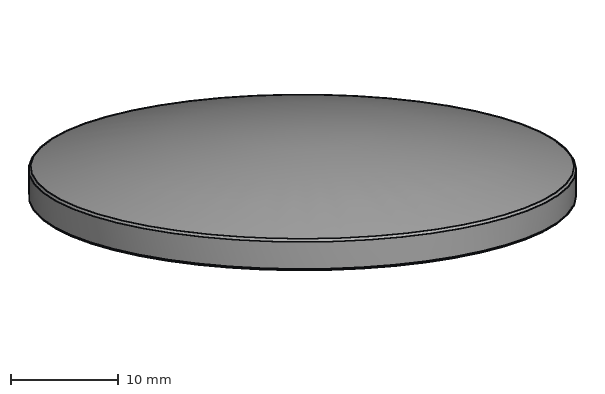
import cadquery as cq

diameter = 50.8
total_height = 6.6
edge_thickness = 3.0
edge_chamfer = 0.2

radius = diameter / 2
dome_rise = total_height - edge_thickness
sphere_radius = (radius**2 + dome_rise**2) / (2 * dome_rise)

mid_radius = radius / 2
sphere_center_height = total_height - sphere_radius
mid_height = sphere_center_height + (sphere_radius**2 - mid_radius**2) ** 0.5

half_section = (
    cq.Workplane("XZ")
    .moveTo(0, 0)
    .lineTo(radius, 0)
    .lineTo(radius, edge_thickness)
    .threePointArc((mid_radius, mid_height), (0, total_height))
    .close()
)
lens = half_section.revolve(360, (0, 0, 0), (0, 1, 0))

rim_edges = lens.faces("%CYLINDER").edges("%CIRCLE")
result = rim_edges.chamfer(edge_chamfer)